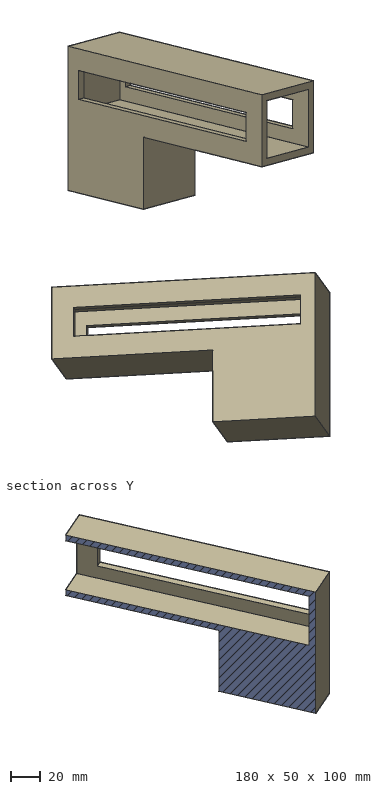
import cadquery as cq

length = 180.0
depth = 50.0
height = 2 * depth
arm_height = depth
leg_length = 70.0
wall = 5.0
window_length = 155.0
window_height = 20.0
window_start = 10.0

arm_bottom = height - arm_height


def block(x, y, z, size_x, size_y, size_z):
    """Box with its lowest corner at (x, y, z)."""
    return cq.Workplane("XY").box(size_x, size_y, size_z, centered=False).translate((x, y, z))


arm = block(0, 0, arm_bottom, length, depth, arm_height)
leg = block(0, 0, 0, leg_length, depth, arm_bottom)

cavity = block(wall, wall, arm_bottom + wall, length - wall, depth - 2 * wall, arm_height - 2 * wall)

window_bottom = arm_bottom + (arm_height - window_height) / 2
window = block(window_start, 0, window_bottom, window_length, depth, window_height)

result = arm.union(leg).cut(cavity).cut(window)